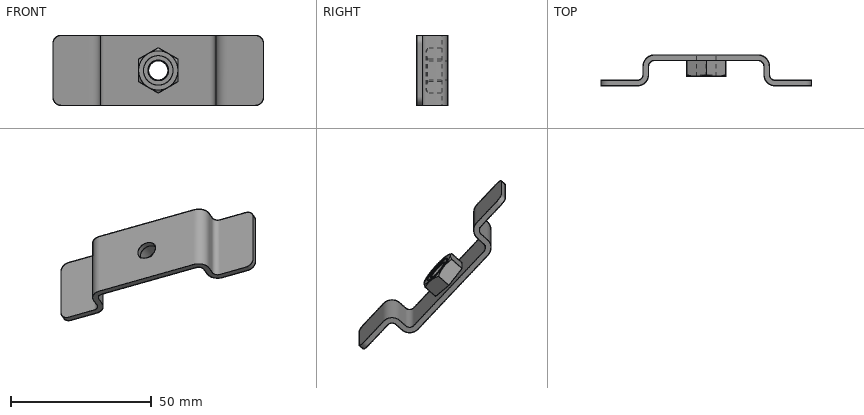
import cadquery as cq
import math

LENGTH = 75.0
DEPTH = 11.0
HEIGHT = 25.0
THICKNESS = 2.0
HAT_WIDTH = 45.0
INNER_BEND = 2.0
CORNER_RADIUS = 3.0

ACROSS_FLATS = 13.95
HEX_SIDES = 6
HEX_TURN = 180 / HEX_SIDES
NUT_HEIGHT = 5.6
CHAMFER_CIRCLE = ACROSS_FLATS
CHAMFER_ANGLE = 30.0
RECESS_DIAMETER = 10.5
RECESS_DEPTH = 0.2
BORE_DIAMETER = 6.8
BORE_MOUTH_DIAMETER = 7.35

WEB_FRONT = DEPTH - THICKNESS
NUT_FRONT = WEB_FRONT - NUT_HEIGHT


def cylinder_y(diameter, y_start, length):
    """Cylinder on the nut axis, running from y_start toward +Y."""
    return cq.Workplane(cq.Solid.makeCylinder(
        diameter / 2, length, cq.Vector(0, y_start, 0), cq.Vector(0, 1, 0)))


def cone_y(start_diameter, end_diameter, y_start, length):
    """Cone on the nut axis, running from y_start toward +Y."""
    return cq.Workplane(cq.Solid.makeCone(
        start_diameter / 2, end_diameter / 2, length,
        cq.Vector(0, y_start, 0), cq.Vector(0, 1, 0)))


def make_bracket():
    half = THICKNESS / 2
    bend = INNER_BEND + half
    wall_x = HAT_WIDTH / 2 - half
    flange_y = half
    web_y = DEPTH - half
    diagonal = bend * math.sqrt(0.5)

    def bent_edge(offset):
        """Points of the right half of the sheet edge, offset toward the web's back."""
        x = wall_x + offset
        low = flange_y + offset
        high = web_y + offset
        low_center = (wall_x + bend, flange_y + bend)
        high_center = (wall_x - bend, web_y - bend)
        low_mid = (bend - offset) / bend * diagonal
        high_mid = (bend + offset) / bend * diagonal
        return {
            "web": (high_center[0], high),
            "high_mid": (high_center[0] + high_mid, high_center[1] + high_mid),
            "wall_top": (x, high_center[1]),
            "wall_bottom": (x, low_center[1]),
            "low_mid": (low_center[0] - low_mid, low_center[1] - low_mid),
            "flange": (low_center[0], low),
            "end": (LENGTH / 2, low),
        }

    back = bent_edge(half)
    front = bent_edge(-half)
    half_profile = (
        cq.Workplane("XY")
        .workplane(offset=-HEIGHT / 2)
        .moveTo(0, DEPTH)
        .lineTo(*back["web"])
        .threePointArc(back["high_mid"], back["wall_top"])
        .lineTo(*back["wall_bottom"])
        .threePointArc(back["low_mid"], back["flange"])
        .lineTo(*back["end"])
        .lineTo(*front["end"])
        .lineTo(*front["flange"])
        .threePointArc(front["low_mid"], front["wall_bottom"])
        .lineTo(*front["wall_top"])
        .threePointArc(front["high_mid"], front["web"])
        .lineTo(0, WEB_FRONT)
        .close()
        .extrude(HEIGHT)
    )
    strip = half_profile.union(half_profile.mirror("YZ")).clean()
    outline = (
        cq.Workplane("XZ")
        .rect(LENGTH, HEIGHT)
        .extrude(-DEPTH)
        .edges("|Y")
        .fillet(CORNER_RADIUS)
    )
    return strip.intersect(outline).cut(cylinder_y(BORE_DIAMETER, WEB_FRONT, THICKNESS))


def make_nut():
    across_corners = ACROSS_FLATS / math.cos(math.pi / HEX_SIDES)
    hexagon = (
        cq.Workplane("XZ", origin=(0, NUT_FRONT, 0))
        .polygon(HEX_SIDES, across_corners)
        .extrude(-NUT_HEIGHT)
        .rotate((0, 0, 0), (0, 1, 0), HEX_TURN)
    )

    cone_growth = 2 * NUT_HEIGHT / math.tan(math.radians(CHAMFER_ANGLE))
    chamfer_cone = cone_y(CHAMFER_CIRCLE, CHAMFER_CIRCLE + cone_growth, NUT_FRONT, NUT_HEIGHT)

    recess = cylinder_y(RECESS_DIAMETER, NUT_FRONT, RECESS_DEPTH)
    bore = cylinder_y(BORE_DIAMETER, NUT_FRONT, NUT_HEIGHT)
    mouth_depth = (BORE_MOUTH_DIAMETER - BORE_DIAMETER) / 2
    mouth = cone_y(BORE_MOUTH_DIAMETER, BORE_DIAMETER, NUT_FRONT + RECESS_DEPTH, mouth_depth)

    return hexagon.intersect(chamfer_cone).cut(recess).cut(bore).cut(mouth)


bracket = make_bracket().solids()
nut = make_nut().solids()
result = cq.Compound.makeCompound([bracket.val(), nut.val()])